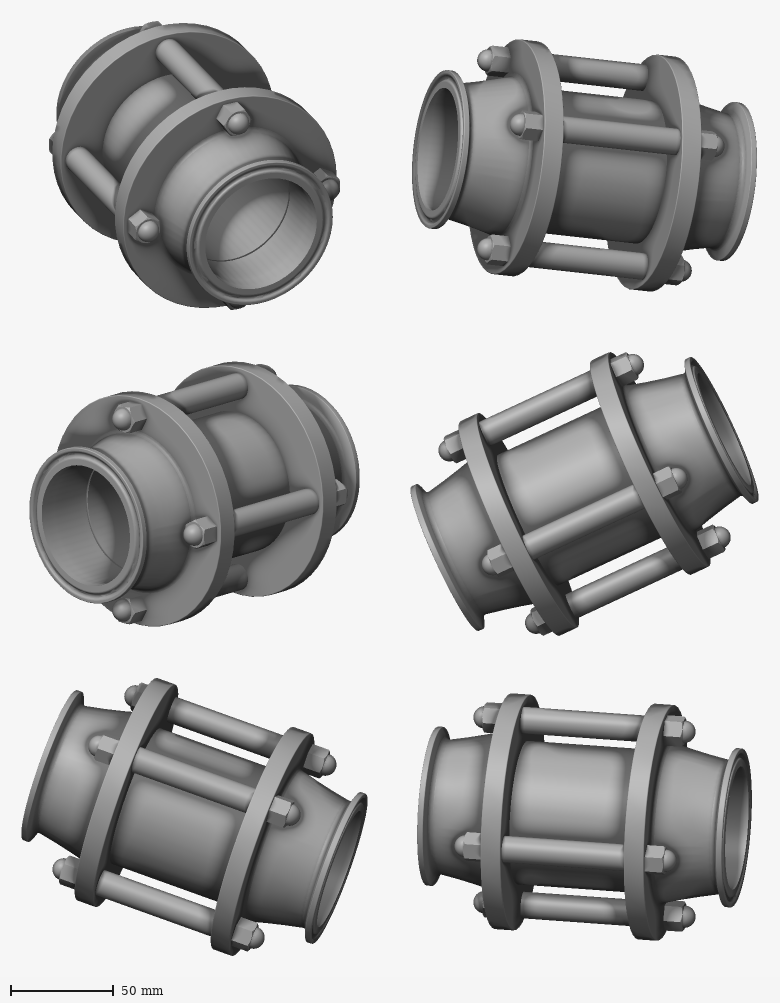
import cadquery as cq
import math

overall_length = 151.0
end_x = overall_length / 2
bore_radius = 30.0

glass_radius = 35.0
glass_length = 87.3

flange_radius = 57.5
flange_inner_x = 30.5
flange_thickness = 10.0
flange_outer_x = flange_inner_x + flange_thickness
flange_edge_fillet = 0.5
seat_end_x = 44.8

neck_start_radius = 39.4
neck_middle_x = 55.3
neck_middle_radius = 35.6
neck_end_x = 68.5
neck_end_radius = 32.9
neck_root_fillet = 2.0

rim_radius = 38.8
rim_thickness = 2.9
rim_edge_fillet = 0.5
ferrule_back_slope = 20.0
ferrule_back_fillet = 2.1
gasket_groove_center_radius = 35.2
gasket_groove_radius = 1.3
gasket_groove_edge_fillet = 1.2

rod_count = 4
rod_circle_radius = 48.5
rod_radius = 6.5
nut_across_flats = 13.0
nut_height = 9.0
nut_chamfer_angle = 35.0
dome_radius = 5.5


def make_end_fitting():
    """Flange, neck and clamp ferrule of the +X end, as one revolved solid."""
    rim_back_x = end_x - rim_thickness
    back_rise = rim_radius - neck_end_radius
    back_foot_x = rim_back_x - back_rise * math.tan(math.radians(ferrule_back_slope))
    groove_outer_radius = gasket_groove_center_radius + gasket_groove_radius
    groove_inner_radius = gasket_groove_center_radius - gasket_groove_radius
    groove_bottom = (end_x - gasket_groove_radius, gasket_groove_center_radius)
    fitting = (
        cq.Workplane("XY")
        .moveTo(flange_inner_x, glass_radius)
        .lineTo(flange_inner_x, flange_radius)
        .lineTo(flange_outer_x, flange_radius)
        .lineTo(flange_outer_x, neck_start_radius)
        .threePointArc((neck_middle_x, neck_middle_radius), (neck_end_x, neck_end_radius))
        .lineTo(back_foot_x, neck_end_radius)
        .lineTo(rim_back_x, rim_radius)
        .lineTo(end_x, rim_radius)
        .lineTo(end_x, groove_outer_radius)
        .threePointArc(groove_bottom, (end_x, groove_inner_radius))
        .lineTo(end_x, bore_radius)
        .lineTo(seat_end_x, bore_radius)
        .lineTo(seat_end_x, glass_radius)
        .close()
        .revolve(360, (0, 0, 0), (1, 0, 0))
    )
    fitting = fillet_circle(fitting, flange_inner_x, flange_radius, flange_edge_fillet)
    fitting = fillet_circle(fitting, flange_outer_x, flange_radius, flange_edge_fillet)
    fitting = fillet_circle(fitting, flange_outer_x, neck_start_radius, neck_root_fillet)
    fitting = fillet_circle(fitting, back_foot_x, neck_end_radius, ferrule_back_fillet)
    fitting = fillet_circle(fitting, rim_back_x, rim_radius, rim_edge_fillet)
    fitting = fillet_circle(fitting, end_x, rim_radius, rim_edge_fillet)
    for lip_radius in (groove_outer_radius, groove_inner_radius):
        fitting = fillet_circle(fitting, end_x, lip_radius, gasket_groove_edge_fillet)
    return fitting


def fillet_circle(body, x, radius, fillet_radius):
    """Round the circular edge of the given radius that lies at x."""
    margin = 0.02
    ring = cq.selectors.BoxSelector(
        (x - margin, -radius - margin, -radius - margin),
        (x + margin, radius + margin, radius + margin),
        boundingbox=True,
    )
    edges = body.edges("%CIRCLE").edges(ring).filter(lambda edge: abs(edge.radius() - radius) < margin)
    return body.newObject(edges.vals()).fillet(fillet_radius)


def make_domed_nut():
    """Nut standing on the outer face of the +X flange, at the top of the rod circle."""
    corner_radius = nut_across_flats / 2 / math.cos(math.pi / 6)
    chamfer_height = (corner_radius - nut_across_flats / 2) * math.tan(math.radians(nut_chamfer_angle))
    nut_base = cq.Workplane("YZ", origin=(flange_outer_x, 0, rod_circle_radius))
    hexagon = nut_base.polygon(6, 2 * corner_radius).extrude(nut_height)
    crown = (
        nut_base.circle(corner_radius)
        .extrude(nut_height)
        .faces(">X")
        .chamfer(chamfer_height, corner_radius - nut_across_flats / 2)
    )
    dome = cq.Workplane("XY").sphere(dome_radius).translate(
        (flange_outer_x + nut_height, 0, rod_circle_radius)
    )
    return hexagon.intersect(crown).union(dome)


def make_tie_rod():
    """Rod between the flanges with a domed nut at each end, at the top of the rod circle."""
    rod = (
        cq.Workplane("YZ", origin=(-flange_outer_x, 0, rod_circle_radius))
        .circle(rod_radius)
        .extrude(2 * flange_outer_x)
    )
    nut = make_domed_nut()
    return rod.union(nut).union(nut.mirror("YZ"))


def make_frame():
    """Both end fittings joined by the ring of tie rods."""
    fitting = make_end_fitting()
    frame = fitting
    tie_rod = make_tie_rod()
    for index in range(rod_count):
        frame = frame.union(tie_rod.rotate((0, 0, 0), (1, 0, 0), index * 360 / rod_count))
    return frame.union(fitting.mirror("YZ"))


def make_glass():
    """Sight glass tube, seated in the pockets of both flanges."""
    return (
        cq.Workplane("YZ", origin=(-glass_length / 2, 0, 0))
        .circle(glass_radius)
        .circle(bore_radius)
        .extrude(glass_length)
    )


frame = make_frame()
glass = make_glass()

result = cq.Compound.makeCompound([frame.val(), glass.val()])